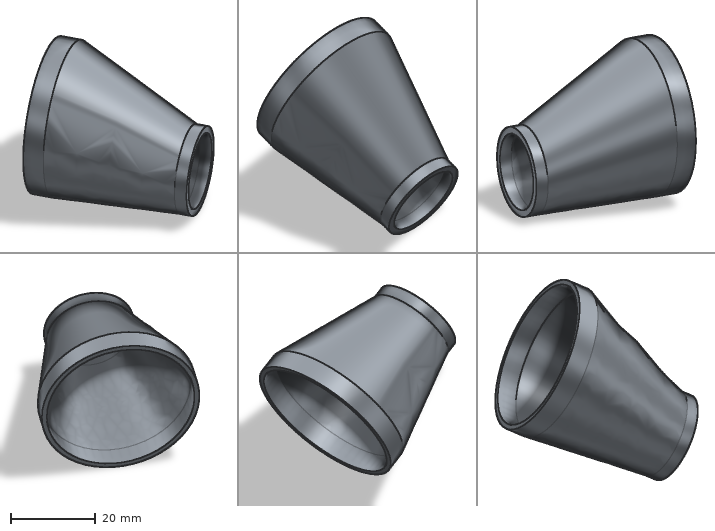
import cadquery as cq

large_outer_diameter = 38.1
large_bore_diameter = 35.7
small_outer_diameter = 21.7
small_bore_diameter = 18.4

total_length = 38.0
large_collar_length = 5.0
small_collar_length = 3.0
taper_length = total_length - large_collar_length - small_collar_length

small_axis_z = (small_outer_diameter - large_outer_diameter) / 2


def reducer_body(large_diameter, small_diameter):
    """Large collar, eccentric taper and small collar as one solid."""
    large_collar = cq.Workplane("YZ").circle(large_diameter / 2).extrude(large_collar_length)
    taper = (
        cq.Workplane("YZ", origin=(large_collar_length, 0, 0))
        .circle(large_diameter / 2)
        .workplane(offset=taper_length)
        .center(0, small_axis_z)
        .circle(small_diameter / 2)
        .loft(ruled=True)
    )
    small_collar = (
        cq.Workplane("YZ", origin=(total_length - small_collar_length, 0, small_axis_z))
        .circle(small_diameter / 2)
        .extrude(small_collar_length)
    )
    return large_collar.union(taper).union(small_collar)


outer_body = reducer_body(large_outer_diameter, small_outer_diameter)
bore = reducer_body(large_bore_diameter, small_bore_diameter)
result = outer_body.cut(bore)